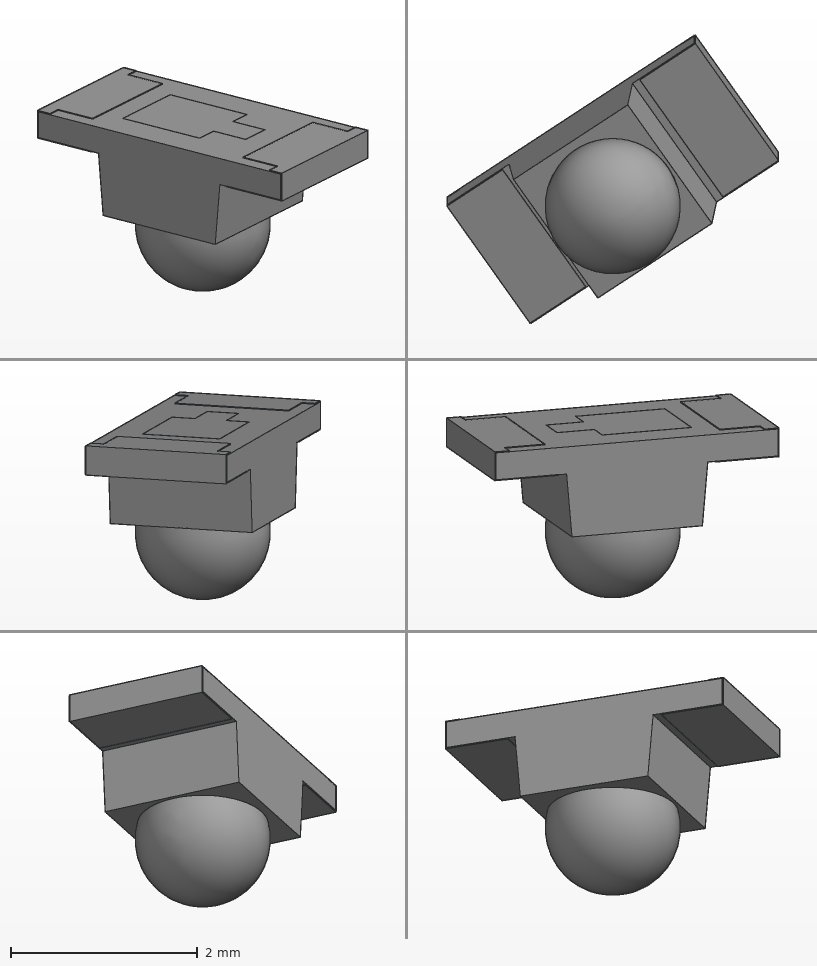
import cadquery as cq
import math

length = 3.22
width = 1.6
plating = 0.01

board_length = length - 2 * plating
board_thickness = 0.3

body_height = 0.7
body_draft = 5.0
body_top_length = width
body_bottom_length = body_top_length - 2 * body_height * math.tan(math.radians(body_draft))

lens_radius = 0.725
lens_height = 0.9

terminal_width = width - 2 * plating
top_strip_length = 0.165
top_pad_length = 0.618
top_pad_width = 1.28
bottom_pad_length = 0.72

mark_height = 0.0015
mark_left = -0.74
mark_shoulder = 0.27
mark_tip = 0.692
mark_width = 0.87
mark_tab_width = 0.355

board_bottom = -board_thickness
body_bottom = board_bottom - body_height
lens_bottom = body_bottom - lens_height


def block(x_min, x_max, y_size, z_min, z_max):
    """Box between two X and two Z levels, centred on Y = 0."""
    return cq.Workplane("XY").box(
        x_max - x_min, y_size, z_max - z_min, centered=(False, True, False)
    ).translate((x_min, 0, z_min))


def make_board():
    return block(-board_length / 2, board_length / 2, width, board_bottom, 0)


def make_body():
    profile = [
        (-body_top_length / 2, board_bottom),
        (body_top_length / 2, board_bottom),
        (body_bottom_length / 2, body_bottom),
        (-body_bottom_length / 2, body_bottom),
    ]
    return cq.Workplane("XZ").polyline(profile).close().extrude(width / 2, both=True)


def make_lens():
    sphere = cq.Workplane("XY").sphere(lens_radius).translate((0, 0, lens_bottom + lens_radius))
    below_body = block(-lens_radius, lens_radius, 2 * lens_radius, lens_bottom, body_bottom)
    return sphere.intersect(below_body)


def make_left_terminal():
    end = -length / 2
    plated_bottom = board_bottom - plating
    end_cap = block(end, end + plating, terminal_width, plated_bottom, plating)
    top_strip = block(end, end + top_strip_length, terminal_width, 0, plating)
    top_pad = block(end, end + top_pad_length, top_pad_width, 0, plating)
    bottom_pad = block(end, end + bottom_pad_length, terminal_width, plated_bottom, board_bottom)
    return end_cap.union(top_strip).union(top_pad).union(bottom_pad)


def make_polarity_mark():
    wide_part = block(mark_left, mark_shoulder, mark_width, 0, mark_height)
    tab = block(mark_shoulder, mark_tip, mark_tab_width, 0, mark_height)
    return wide_part.union(tab)


left_terminal = make_left_terminal()
right_terminal = left_terminal.mirror("YZ")

result = (
    make_board()
    .union(make_body())
    .union(make_lens())
    .union(left_terminal)
    .union(right_terminal)
    .union(make_polarity_mark())
)